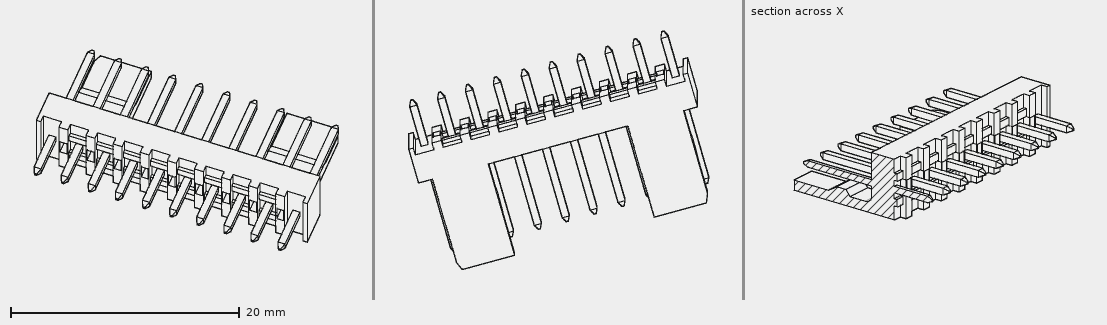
import cadquery as cq

PIN_COUNT = 10
PITCH = 2.54
PIN_SIZE = 0.66
PIN_TIP_SIZE = 0.2
PIN_TIP_LENGTH = 0.5
PIN_REAR_REACH = 7.52
PIN_FRONT_REACH = 6.71

BODY_LENGTH = PIN_COUNT * PITCH
BODY_DEPTH = 3.17
BODY_HEIGHT = 5.8
PIN_HEIGHT = BODY_HEIGHT / 2

POCKET_WIDTH = 1.7
POCKET_DEPTH = 0.64
BAR_DEPTH = 0.32
BAR_HEIGHT = 0.74
BAR_GAP = 1.7

WINDOW_WIDTH = 0.64
WINDOW_HEIGHT = 1.5

TONGUE_LENGTH = 8.55
TONGUE_THICKNESS = 1.0
TONGUE_WIDTH = 2 * PITCH
CORNER_WIDTH = 0.31
CORNER_LENGTH = 0.75
ROOT_RADIUS = 0.64
LATCH_HEIGHT = 1.57
LATCH_FOOT_INNER = 2.34
LATCH_CREST_INNER = 2.8
LATCH_CREST_OUTER = 3.8
LATCH_FOOT_OUTER = 4.75

FRONT_Y = -BODY_DEPTH
POCKET_FLOOR_Y = FRONT_Y + POCKET_DEPTH
FIRST_PIN_X = -(PIN_COUNT - 1) * PITCH / 2
PIN_XS = [FIRST_PIN_X + i * PITCH for i in range(PIN_COUNT)]


def block(x_center, width, y_min, y_max, z_center, height):
    """Box centred in X and Z, spanning y_min to y_max."""
    box = cq.Workplane("XY").box(width, y_max - y_min, height, centered=(True, False, True))
    return box.translate((x_center, y_min, z_center))


def make_pin_tip(x, y_base, y_direction):
    """Pyramidal tip that tapers away from y_base along +Y or -Y."""
    plane = cq.Plane(origin=(x, y_base, PIN_HEIGHT), xDir=(1, 0, 0), normal=(0, y_direction, 0))
    tip = cq.Workplane(plane).rect(PIN_SIZE, PIN_SIZE)
    return tip.workplane(offset=PIN_TIP_LENGTH).rect(PIN_TIP_SIZE, PIN_TIP_SIZE).loft(ruled=True)


def make_pin(x):
    """Square pin pointed at both ends."""
    shank_front = PIN_TIP_LENGTH - PIN_FRONT_REACH
    shank_rear = PIN_REAR_REACH - PIN_TIP_LENGTH
    shank = block(x, PIN_SIZE, shank_front, shank_rear, PIN_HEIGHT, PIN_SIZE)
    return shank.union(make_pin_tip(x, shank_front, -1)).union(make_pin_tip(x, shank_rear, 1))


def make_housing():
    """Block with pockets, cross bars and rib windows."""
    housing = block(0, BODY_LENGTH, FRONT_Y, 0, PIN_HEIGHT, BODY_HEIGHT)
    for x in PIN_XS:
        housing = housing.cut(block(x, POCKET_WIDTH, FRONT_Y, POCKET_FLOOR_Y, PIN_HEIGHT, BODY_HEIGHT))
    bar_offset = (BAR_GAP + BAR_HEIGHT) / 2
    for x in PIN_XS[1:-1]:
        for z in (PIN_HEIGHT - bar_offset, PIN_HEIGHT + bar_offset):
            bar = block(x, POCKET_WIDTH, POCKET_FLOOR_Y - BAR_DEPTH, POCKET_FLOOR_Y, z, BAR_HEIGHT)
            housing = housing.union(bar)
    for x in PIN_XS[:-1]:
        window_x = x + PITCH / 2
        housing = housing.cut(block(window_x, WINDOW_WIDTH, FRONT_Y, 0, PIN_HEIGHT, WINDOW_HEIGHT))
    return housing


def make_left_tongue():
    """Tongue from the first pin to the third, with a latch ridge, a filleted root and a cut outer corner."""
    outer_x = PIN_XS[0]
    profile = [
        (0, 0),
        (TONGUE_LENGTH, 0),
        (TONGUE_LENGTH, TONGUE_THICKNESS),
        (LATCH_FOOT_OUTER, TONGUE_THICKNESS),
        (LATCH_CREST_OUTER, LATCH_HEIGHT),
        (LATCH_CREST_INNER, LATCH_HEIGHT),
        (LATCH_FOOT_INNER, TONGUE_THICKNESS),
        (ROOT_RADIUS, TONGUE_THICKNESS),
    ]
    outline = cq.Workplane("YZ").polyline(profile)
    outline = outline.radiusArc((0, TONGUE_THICKNESS + ROOT_RADIUS), ROOT_RADIUS)
    tongue = outline.close().extrude(TONGUE_WIDTH)
    corner = [
        (0, TONGUE_LENGTH - CORNER_LENGTH),
        (0, TONGUE_LENGTH),
        (CORNER_WIDTH, TONGUE_LENGTH),
    ]
    corner_cut = cq.Workplane("XY").polyline(corner).close().extrude(TONGUE_THICKNESS)
    return tongue.cut(corner_cut).translate((outer_x, 0, 0))


left_tongue = make_left_tongue()
result = make_housing().union(left_tongue).union(left_tongue.mirror("YZ"))
for pin_x in PIN_XS:
    result = result.union(make_pin(pin_x))